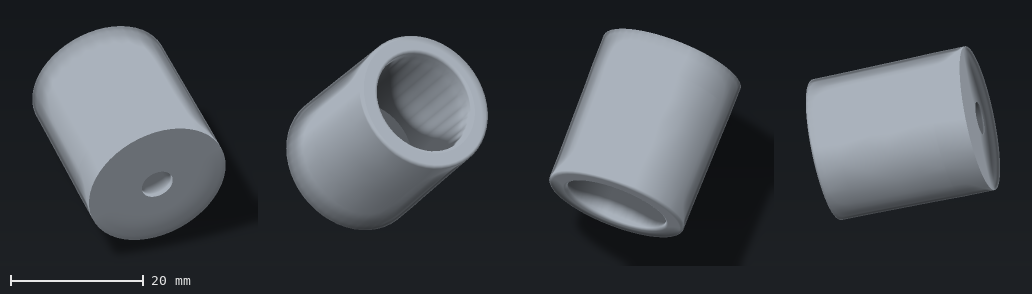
import cadquery as cq

length = 24.31
collar_length = 5.0
collar_diameter = 22.16
mouth_diameter = 21.68
bore_mouth_diameter = 15.92
bore_floor_diameter = 15.43
floor_thickness = 5.0
through_hole_diameter = 5.0
rim_fillet = 0.5

mouth_x = -length / 2
back_x = length / 2
collar_x = back_x - collar_length
floor_x = back_x - floor_thickness


def make_cup():
    """Revolve the half section: tapered outside, plain collar and tapered blind bore."""
    half_section = (
        cq.Workplane("XY")
        .moveTo(mouth_x, bore_mouth_diameter / 2)
        .lineTo(mouth_x, mouth_diameter / 2)
        .lineTo(collar_x, collar_diameter / 2)
        .lineTo(back_x, collar_diameter / 2)
        .lineTo(back_x, through_hole_diameter / 2)
        .lineTo(floor_x, through_hole_diameter / 2)
        .lineTo(floor_x, bore_floor_diameter / 2)
        .close()
    )
    return half_section.revolve(360, (0, 0, 0), (1, 0, 0))


def round_rim(cup):
    """Round the inner and outer edges of the open end."""
    return cup.faces("<X").edges().fillet(rim_fillet)


result = round_rim(make_cup())